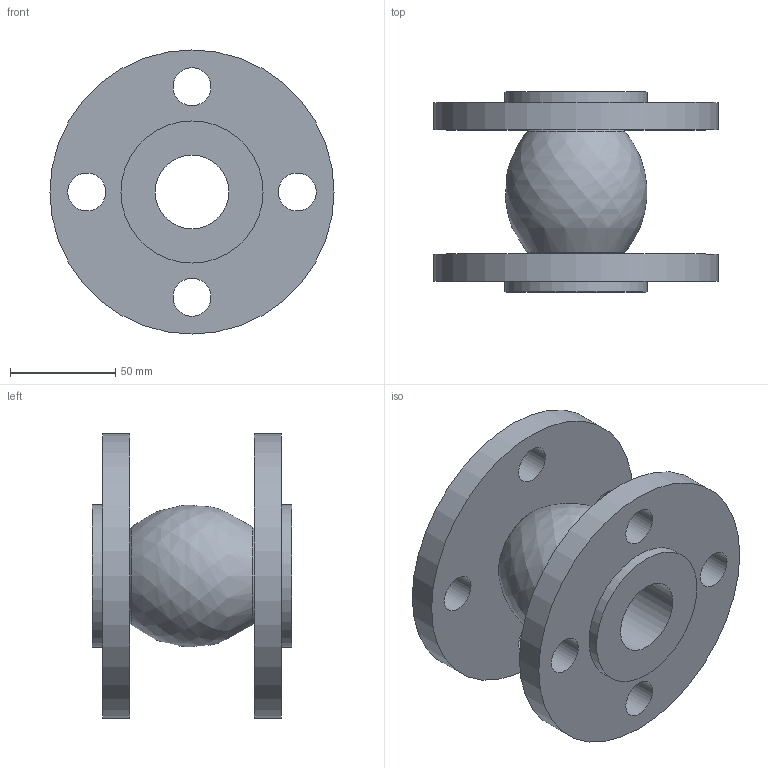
import cadquery as cq

overall_length = 95.0
bore_diameter = 35.0

flange_diameter = 135.0
flange_thickness = 13.0
raised_face_diameter = flange_diameter / 2
raised_face_height = 5.0

bolt_hole_diameter = 18.0
bolt_circle_diameter = 100.0
bolt_hole_count = 4

body_diameter = 67.5
neck_diameter = 45.0
neck_length = 0.75

face_y = overall_length / 2
flange_outer_y = face_y - raised_face_height
flange_inner_y = flange_outer_y - flange_thickness
bulge_end_y = flange_inner_y - neck_length


def make_turned_body():
    """Body, both flanges and both raised faces, revolved about the Y axis."""
    body_radius = body_diameter / 2
    neck_radius = neck_diameter / 2
    bulge_end_radius = neck_radius + neck_length
    flange_radius = flange_diameter / 2
    raised_face_radius = raised_face_diameter / 2
    profile = (
        cq.Workplane("XY")
        .moveTo(0, -face_y)
        .lineTo(raised_face_radius, -face_y)
        .lineTo(raised_face_radius, -flange_outer_y)
        .lineTo(flange_radius, -flange_outer_y)
        .lineTo(flange_radius, -flange_inner_y)
        .lineTo(neck_radius, -flange_inner_y)
        .lineTo(bulge_end_radius, -bulge_end_y)
        .threePointArc((body_radius, 0), (bulge_end_radius, bulge_end_y))
        .lineTo(neck_radius, flange_inner_y)
        .lineTo(flange_radius, flange_inner_y)
        .lineTo(flange_radius, flange_outer_y)
        .lineTo(raised_face_radius, flange_outer_y)
        .lineTo(raised_face_radius, face_y)
        .lineTo(0, face_y)
        .close()
    )
    return profile.revolve(360, (0, 0, 0), (0, 1, 0))


def make_bore():
    """Straight passage through the whole length."""
    return cq.Workplane("XZ").circle(bore_diameter / 2).extrude(face_y, both=True)


def make_bolt_holes():
    """Bolt holes on the axes, running through both flanges."""
    return (
        cq.Workplane("XZ")
        .polarArray(bolt_circle_diameter / 2, 0, 360, bolt_hole_count)
        .circle(bolt_hole_diameter / 2)
        .extrude(face_y, both=True)
    )


result = make_turned_body().cut(make_bore()).cut(make_bolt_holes())